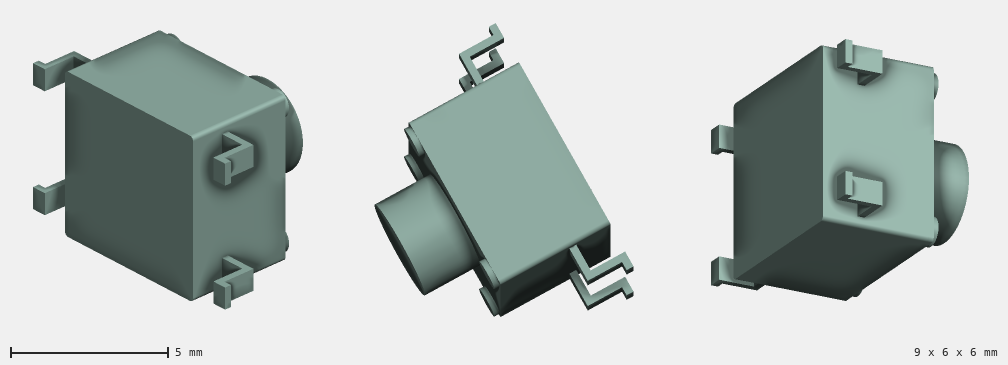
import cadquery as cq


case_size = 6.0
case_depth = 4.0
cover_thickness = 0.2
case_corner_radius = 0.15
housing_depth = case_depth - cover_thickness

button_diameter = 3.3
button_height = 2.0

rivet_diameter = 1.0
rivet_height = 0.2
rivet_edge_gap = 0.05
rivet_offset = case_size / 2 - rivet_edge_gap - rivet_diameter / 2

lead_span = 9.0
lead_width = 0.8
lead_thickness = 0.25
lead_shoulder_height = 1.5
lead_spacing = 4.5
lead_toe_length = 0.3
lead_toe_x = lead_span / 2
lead_outer_x = lead_toe_x - lead_toe_length
lead_inner_x = lead_outer_x - lead_thickness


def case_slice(start_y, thickness):
    """Square slice of the case with rounded corners, growing toward +Y."""
    return (
        cq.Workplane("XZ", origin=(0, start_y, 0))
        .rect(case_size, case_size)
        .extrude(-thickness)
        .edges("|Y")
        .fillet(case_corner_radius)
    )


def disc_on_cover(diameter, height, x=0, z=0):
    """Cylinder standing on the outer face of the cover."""
    return (
        cq.Workplane("XZ", origin=(x, case_depth, z))
        .circle(diameter / 2)
        .extrude(-height)
    )


def make_lead(side, z):
    """Stepped lead leaving the case wall; side is +1 or -1 along X."""
    wall_x = case_size / 2
    profile = [
        (wall_x, lead_shoulder_height),
        (lead_outer_x, lead_shoulder_height),
        (lead_outer_x, lead_thickness),
        (lead_toe_x, lead_thickness),
        (lead_toe_x, 0),
        (lead_inner_x, 0),
        (lead_inner_x, lead_shoulder_height - lead_thickness),
        (wall_x, lead_shoulder_height - lead_thickness),
    ]
    return (
        cq.Workplane("XY", origin=(0, 0, z - lead_width / 2))
        .polyline([(side * x, y) for x, y in profile])
        .close()
        .extrude(lead_width)
    )


def make_housing():
    """Housing block with its four leads."""
    housing = case_slice(0, housing_depth)
    for side in (-1, 1):
        for z in (-lead_spacing / 2, lead_spacing / 2):
            housing = housing.union(make_lead(side, z))
    return housing


def make_cover():
    """Cover plate carrying the button and the four rivet heads."""
    cover = case_slice(housing_depth, cover_thickness)
    cover = cover.union(disc_on_cover(button_diameter, button_height))
    for x in (-rivet_offset, rivet_offset):
        for z in (-rivet_offset, rivet_offset):
            cover = cover.union(disc_on_cover(rivet_diameter, rivet_height, x, z))
    return cover


housing = make_housing()
cover = make_cover()

result = cq.Compound.makeCompound([housing.solids().val(), cover.solids().val()])